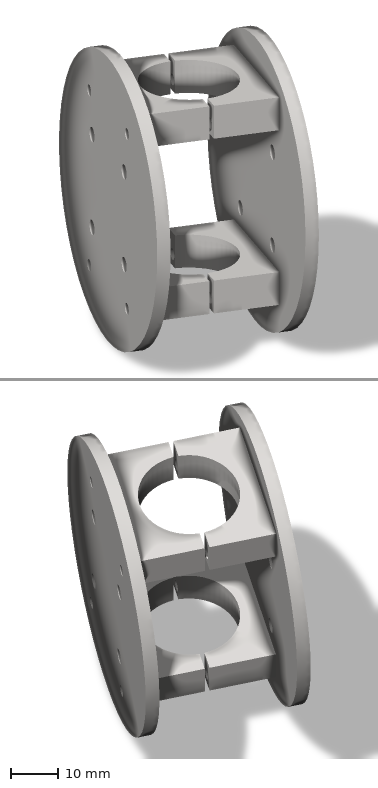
import cadquery as cq

plate_diameter = 65.0
plate_thickness = 3.0
overall_depth = 36.0

block_width = 30.0
block_height = 7.55
block_spacing = 40.05
block_rise = 1.25
clamp_gap = 1.05
bore_diameter = 21.6

screw_diameter = 2.55
screw_spacing_x = 24.95
screw_spacing_z = 40.05
mount_diameter = 3.3
mount_spacing = 21.25

outer_y = overall_depth / 2
inner_y = outer_y - plate_thickness
split_y = clamp_gap / 2
block_depth = inner_y - split_y


def make_plate():
    """Round plate on the -Y side, with its four mounting holes."""
    return (
        cq.Workplane("XZ", origin=(0, -inner_y, 0))
        .circle(plate_diameter / 2)
        .extrude(plate_thickness)
        .faces("<Y")
        .workplane(origin=(0, -outer_y, 0))
        .rect(mount_spacing, mount_spacing, forConstruction=True)
        .vertices()
        .hole(mount_diameter)
    )


def make_block(center_z):
    """Half of a clamp, reaching from the plate to the split plane."""
    return cq.Workplane("XY").box(block_width, block_depth, block_height).translate(
        (0, -(inner_y + split_y) / 2, center_z)
    )


def make_bore():
    """Upright cylinder on the Z axis that hollows every clamp half."""
    return cq.Workplane("XY").circle(bore_diameter / 2).extrude(plate_diameter / 2, both=True)


def make_screw_holes():
    """Four cylinders that run the full depth along Y."""
    return (
        cq.Workplane("XZ")
        .rect(screw_spacing_x, screw_spacing_z, forConstruction=True)
        .vertices()
        .circle(screw_diameter / 2)
        .extrude(overall_depth, both=True)
    )


def make_clamp_half():
    """Plate with its upper and lower clamp blocks, as one solid on the -Y side."""
    half = make_plate()
    for side in (-1, 1):
        half = half.union(make_block(block_rise + side * block_spacing / 2))
    return half.cut(make_bore()).cut(make_screw_holes())


front_half = make_clamp_half()
rear_half = front_half.mirror("XZ")

result = cq.Compound.makeCompound([front_half.val(), rear_half.val()])